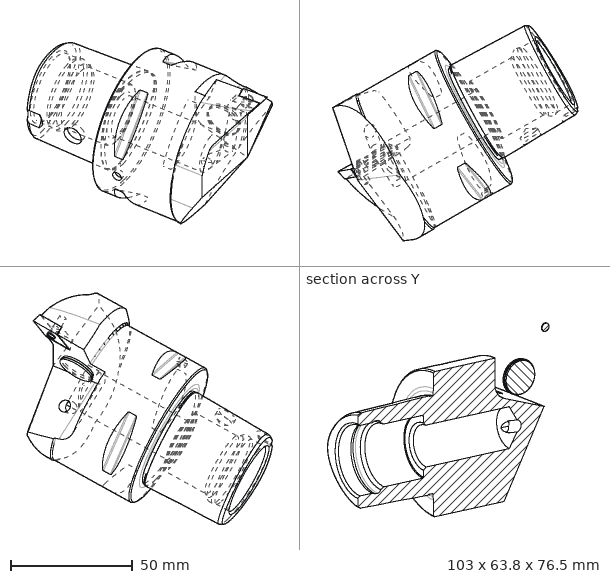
import cadquery as cq
import math


SHANK_END = 36.0
TIP_CHAMFER_LENGTH = 1.4
TIP_CHAMFER_DEPTH = 0.8
SHANK_RADIUS = 21.9
SHANK_TAPER = 0.025
LOBE_RATIO = 0.064
LOBES = 3
LOBE_POINTS = 12 * LOBES
NECK_RADIUS = 21.6
NECK_GROOVE_START = 36.6
NECK_GROOVE_RADIUS = 22.3

COLLAR_START = 38.0
COLLAR_END = 75.1
COLLAR_RADIUS = 31.5
COLLAR_CHAMFER = 0.6
SEAT_PROUD = 0.4
SEAT_RADIUS = 22.5
SEAT_FOOT_RADIUS = 24.1

BORE_MOUTH_RADIUS = 16.1
BORE_CHAMFER_DEPTH = 1.0
ENTRY_RADIUS = 15.1
RECESS_START = 7.2
RECESS_FLOOR_START = 8.7
RECESS_FLOOR_END = 9.9
RECESS_RADIUS = 15.7
RECESS_END = 11.4
SHOULDER_RADIUS = 14.4
SHOULDER_END = 13.1
BORE_DEPTH = 33.0
BORE_RADIUS = 13.5
BORE_END_CHAMFER = 0.3
FEED_MOUTH_RADIUS = 10.2
FEED_RADIUS = 9.0
FEED_APEX = 81.4
DRILL_SLOPE = 0.6

NOTCH_LENGTH = 6.2
NOTCH_RADIUS = 5.4
NOTCH_FLOOR = 18.0
NOTCH_TIP = 5.4
DIMPLE_X = 22.5
DIMPLE_RADIUS = 4.1
DIMPLE_DEPTH = 17.4

GRIP_X = 50.0
GRIP_FLOOR_WIDTH = 3.9
GRIP_FLOOR = 27.9
GRIP_SIDE_ANGLE = 30.0
GRIP_POSITIONS = (45, 135, 225, 315)
GRIP_FILLET = 0.6
INDEX_HOLE_RADIUS = 2.1
INDEX_HOLE_DEPTH = 2.1

HEAD_RADIUS = 31.9
HEAD_FLAT_TOP = 20.9
ARC_MIDDLE = (-22.4, 36.5)
ARC_TOP = (-8.8, 43.7)
BACK_CONE_SLOPE = 0.28
BACK_FILLET = 0.8
TIP_X = 103.0
TIP_Z = 45.0
TOP_ANGLE = 3.0
INSERT_ANGLE = 55.0
NOSE_SETBACK = 0.3
FACE_X = 93.6
FACE_CORNER_Z = 5.9
LOWER_ANGLE = 28.3
NOSE_FILLET = 5.2
RELIEF_TOP = 6.0
RELIEF_NOSE = 7.0
RELIEF_FACE = 5.5
RELIEF_LOWER = 7.0
RELIEF_FACE_REAR = 11.5
RELIEF_LOWER_REAR = 10.0

RAKE_Y = -0.2
POCKET_WALL_X = 68.9
FLOOR_ANGLE = 20.0
POCKET_FILLET = 7.2

COOLANT_X = 79.4
COOLANT_RADIUS = 2.5
COOLANT_OUTLET = (14.1, 10.6)
CROSS_HALF_LENGTH = 9.3
CROSS_ANGLE = 18.0

INSERT_EDGE = 11.4
INSERT_THICKNESS = 4.0
INSERT_RELIEF = 7.0
SCREW_HEAD_RADIUS = 1.9
SCREW_HEAD_DEPTH = 1.5
SCREW_SHANK_RADIUS = 1.4
SCREW_LENGTH = 9.3
SCREW_PROUD = 0.3

BUTTON_X = 81.7
BUTTON_Z = 20.6
BUTTON_NECK_RADIUS = 7.3
BUTTON_NECK_HEIGHT = 0.9
BUTTON_RIM_RADIUS = 7.6
BUTTON_RIM_HEIGHT = 0.9

FAR = 51.5
CLEARANCE = 1.0


def tan_deg(angle):
    return math.tan(math.radians(angle))


def turned(points):
    """Solid of revolution about X from a closed (x, radius) outline."""
    return cq.Workplane("XY").polyline(points).close().revolve(360, (0, 0, 0), (1, 0, 0))


def lobed_wire(x, radius):
    """Closed constant-width curve with three lobes, one of them towards +Y."""
    lobe = LOBE_RATIO * radius
    points = []
    for i in range(LOBE_POINTS):
        angle = 2 * math.pi * i / LOBE_POINTS
        support = radius + lobe * math.cos(LOBES * angle)
        slope = -LOBES * lobe * math.sin(LOBES * angle)
        y = support * math.cos(angle) - slope * math.sin(angle)
        z = support * math.sin(angle) + slope * math.cos(angle)
        points.append(cq.Vector(x, y, z))
    return cq.Wire.assembleEdges([cq.Edge.makeSpline(points, periodic=True)])


def lobed_solid(x1, radius1, x2, radius2):
    return cq.Workplane(cq.Solid.makeLoft([lobed_wire(x1, radius1), lobed_wire(x2, radius2)], True))


def make_shank():
    front_radius = SHANK_RADIUS - SHANK_TAPER * (SHANK_END - TIP_CHAMFER_LENGTH)
    tip = lobed_solid(0, front_radius - TIP_CHAMFER_DEPTH, TIP_CHAMFER_LENGTH, front_radius)
    taper = lobed_solid(TIP_CHAMFER_LENGTH, front_radius, SHANK_END, SHANK_RADIUS)
    neck = lobed_solid(SHANK_END, NECK_RADIUS, COLLAR_START, NECK_RADIUS)
    groove = turned([
        (NECK_GROOVE_START, NECK_GROOVE_RADIUS),
        (NECK_GROOVE_START, FAR),
        (COLLAR_START, FAR),
        (COLLAR_START, NECK_GROOVE_RADIUS),
    ])
    return tip.union(taper).union(neck.cut(groove))


def make_collar():
    collar = turned([
        (COLLAR_START, 0),
        (COLLAR_START, COLLAR_RADIUS - COLLAR_CHAMFER),
        (COLLAR_START + COLLAR_CHAMFER, COLLAR_RADIUS),
        (COLLAR_END, COLLAR_RADIUS),
        (COLLAR_END, 0),
    ])
    seat = turned([
        (COLLAR_START - SEAT_PROUD, 0),
        (COLLAR_START - SEAT_PROUD, SEAT_RADIUS),
        (COLLAR_START, SEAT_FOOT_RADIUS),
        (COLLAR_START, 0),
    ])
    return collar.union(seat)


def make_head():
    """Head cross-section along X, limited at the back by a cone that blends into the collar."""
    diagonal = HEAD_RADIUS * math.sqrt(0.5)
    section = (
        cq.Workplane("YZ", origin=(COLLAR_END, 0, 0))
        .moveTo(0, FAR)
        .lineTo(*ARC_TOP)
        .threePointArc(ARC_MIDDLE, (-HEAD_RADIUS, HEAD_FLAT_TOP))
        .lineTo(-HEAD_RADIUS, 0)
        .threePointArc((0, -HEAD_RADIUS), (HEAD_RADIUS, 0))
        .threePointArc((diagonal, diagonal), (0, HEAD_RADIUS))
        .close()
        .extrude(TIP_X - COLLAR_END + CLEARANCE)
    )
    cone_start = COLLAR_END + BACK_FILLET
    cone_radius = COLLAR_RADIUS + BACK_FILLET
    bend = BACK_FILLET * (1 - math.sqrt(0.5))
    envelope = (
        cq.Workplane("XY")
        .moveTo(COLLAR_END, 0)
        .lineTo(COLLAR_END, COLLAR_RADIUS)
        .threePointArc((cone_start - bend, COLLAR_RADIUS + bend), (cone_start, cone_radius))
        .lineTo(cone_start + BACK_CONE_SLOPE * (FAR - cone_radius), FAR)
        .lineTo(TIP_X + CLEARANCE, FAR)
        .lineTo(TIP_X + CLEARANCE, 0)
        .close()
        .revolve(360, (0, 0, 0), (1, 0, 0))
    )
    return section.intersect(envelope)


def front_outline(depth, face_relief, lower_relief):
    """XZ outline of the whole tool at a distance from Y = 0, with each front edge relieved."""
    top_slope = tan_deg(TOP_ANGLE)
    nose_angle = math.radians(TOP_ANGLE + INSERT_ANGLE)
    lower_angle = math.radians(LOWER_ANGLE)
    nose_inset = NOSE_SETBACK + depth * tan_deg(RELIEF_NOSE)
    top_inset = NOSE_SETBACK + depth * tan_deg(RELIEF_TOP)
    face_x = FACE_X - depth * tan_deg(face_relief)
    nose_x = TIP_X - nose_inset / math.sin(nose_angle)
    top_z = TIP_Z - top_inset / math.cos(math.radians(TOP_ANGLE))
    lower_x = FACE_X - depth * tan_deg(lower_relief) / math.cos(lower_angle)

    nose_slope = math.tan(nose_angle)
    point_x = (top_z - TIP_Z + nose_slope * nose_x - top_slope * TIP_X) / (nose_slope - top_slope)
    point_z = TIP_Z + nose_slope * (point_x - nose_x)
    corner_z = FACE_CORNER_Z + (face_x - lower_x) / math.tan(lower_angle)
    return [
        (0, -FAR),
        (lower_x - (FACE_CORNER_Z + FAR) * math.tan(lower_angle), -FAR),
        (face_x, corner_z),
        (face_x, TIP_Z - nose_slope * (nose_x - face_x)),
        (point_x, point_z),
        (0, top_z - top_slope * TIP_X),
    ]


def front_half(side, face_relief, lower_relief):
    """Space kept by the front edges on one side of Y = 0; side is -1 or +1."""
    reach = HEAD_RADIUS + CLEARANCE
    inner = front_outline(0, face_relief, lower_relief)
    outer = front_outline(reach, face_relief, lower_relief)
    half = (
        cq.Workplane("XZ")
        .polyline(inner)
        .close()
        .workplane(offset=-side * reach)
        .polyline(outer)
        .close()
        .loft(ruled=True)
    )
    (x1, z1), (x2, z2) = inner[3], outer[3]
    corner = ((x1 + x2) / 2, side * reach / 2, (z1 + z2) / 2)
    return half.edges(cq.selectors.NearestToPointSelector(corner)).fillet(NOSE_FILLET)


def make_bore():
    """Stepped bore with a shallow recess behind its entry, ending in a drilled coolant feed."""
    feed_base = FEED_APEX - DRILL_SLOPE * FEED_RADIUS
    step = FEED_MOUTH_RADIUS - FEED_RADIUS
    return (
        cq.Workplane("XY")
        .moveTo(0, 0)
        .lineTo(0, BORE_MOUTH_RADIUS)
        .lineTo(BORE_CHAMFER_DEPTH, ENTRY_RADIUS)
        .lineTo(RECESS_START, ENTRY_RADIUS)
        .lineTo(RECESS_FLOOR_START, RECESS_RADIUS)
        .lineTo(RECESS_FLOOR_END, RECESS_RADIUS)
        .tangentArcPoint((RECESS_END, SHOULDER_RADIUS), relative=False)
        .lineTo(SHOULDER_END, BORE_RADIUS)
        .lineTo(BORE_DEPTH - BORE_END_CHAMFER, BORE_RADIUS)
        .lineTo(BORE_DEPTH, BORE_RADIUS - BORE_END_CHAMFER)
        .lineTo(BORE_DEPTH, FEED_MOUTH_RADIUS)
        .lineTo(BORE_DEPTH + step, FEED_RADIUS)
        .lineTo(feed_base, FEED_RADIUS)
        .lineTo(FEED_APEX, 0)
        .close()
        .revolve(360, (0, 0, 0), (1, 0, 0))
    )


def drilled(length, radius, tip):
    """Drill shape along +Z from the origin: a cylinder with a conical tip."""
    outline = [(0, 0), (radius, 0), (radius, length), (0, length + tip)]
    return cq.Workplane("XZ").polyline(outline).close().revolve(360, (0, 0, 0), (0, 1, 0))


def side_drill(x, bottom, radius):
    """Blind hole drilled from the -Y side; bottom is the distance of its shoulder from the axis."""
    hole = drilled(FAR - bottom, radius, DRILL_SLOPE * radius)
    return hole.rotate((0, 0, 0), (1, 0, 0), -90).translate((x, -FAR, 0))


def make_notch():
    notch = drilled(NOTCH_LENGTH, NOTCH_RADIUS, NOTCH_TIP).rotate((0, 0, 0), (0, 1, 0), 90)
    return notch.translate((0, -NOTCH_FLOOR - NOTCH_RADIUS, 0))


def make_grip_groove(angle):
    height = COLLAR_RADIUS + CLEARANCE - GRIP_FLOOR
    floor = GRIP_FLOOR_WIDTH / 2
    top = floor + height * tan_deg(GRIP_SIDE_ANGLE)
    groove = (
        cq.Workplane("XZ")
        .polyline([(-floor, 0), (floor, 0), (top, height), (-top, height)])
        .close()
        .extrude(COLLAR_RADIUS, both=True)
        .faces("<Z")
        .edges("|Y")
        .fillet(GRIP_FILLET)
    )
    return groove.translate((GRIP_X, 0, GRIP_FLOOR)).rotate((0, 0, 0), (1, 0, 0), angle)


def make_chip_pocket():
    slope = tan_deg(FLOOR_ANGLE)
    end_x = TIP_X + CLEARANCE
    wall_foot = (POCKET_WALL_X, FACE_CORNER_Z + slope * (FACE_X - POCKET_WALL_X))
    outline = [
        (POCKET_WALL_X, FAR),
        wall_foot,
        (end_x, FACE_CORNER_Z - slope * (end_x - FACE_X)),
        (end_x, FAR),
    ]
    pocket = cq.Workplane("XZ", origin=(0, RAKE_Y, 0)).polyline(outline).close().extrude(-FAR)
    foot = (wall_foot[0], FAR / 2, wall_foot[1])
    return pocket.edges(cq.selectors.NearestToPointSelector(foot)).fillet(POCKET_FILLET)


def make_coolant_passages():
    """Cross hole through the feed cone and an oblique outlet from its end to the pocket floor."""
    cosine = math.cos(math.radians(CROSS_ANGLE))
    sine = math.sin(math.radians(CROSS_ANGLE))
    axis = cq.Vector(0, -cosine, sine)
    start = cq.Vector(COOLANT_X, 0, 0) - axis * CROSS_HALF_LENGTH
    cross = cq.Solid.makeCylinder(COOLANT_RADIUS, 2 * CROSS_HALF_LENGTH, start, axis)
    exit_point = cq.Vector(COOLANT_X, *COOLANT_OUTLET)
    run = exit_point - start
    outlet = cq.Solid.makeCylinder(COOLANT_RADIUS, run.Length + 2 * COOLANT_RADIUS, start, run)
    return cq.Workplane(cross).union(cq.Workplane(outlet))


def along_edge(angle):
    """Offset from the insert tip along an edge that falls away at an angle below -X."""
    return (-INSERT_EDGE * math.cos(math.radians(angle)), -INSERT_EDGE * math.sin(math.radians(angle)))


TOP_EDGE = along_edge(TOP_ANGLE)
NOSE_EDGE = along_edge(TOP_ANGLE + INSERT_ANGLE)
INSERT_CENTRE = (
    TIP_X + (TOP_EDGE[0] + NOSE_EDGE[0]) / 2,
    TIP_Z + (TOP_EDGE[1] + NOSE_EDGE[1]) / 2,
)


def make_insert_blank():
    corners = [
        (TIP_X, TIP_Z),
        (TIP_X + TOP_EDGE[0], TIP_Z + TOP_EDGE[1]),
        (TIP_X + TOP_EDGE[0] + NOSE_EDGE[0], TIP_Z + TOP_EDGE[1] + NOSE_EDGE[1]),
        (TIP_X + NOSE_EDGE[0], TIP_Z + NOSE_EDGE[1]),
    ]
    return cq.Workplane("XZ").polyline(corners).close().extrude(INSERT_THICKNESS, taper=INSERT_RELIEF)


def make_insert_screw():
    head = (
        cq.Workplane("XZ", origin=(0, SCREW_PROUD, 0))
        .center(*INSERT_CENTRE)
        .circle(SCREW_HEAD_RADIUS)
        .extrude(SCREW_HEAD_DEPTH + SCREW_PROUD)
    )
    shank = cq.Workplane("XZ").center(*INSERT_CENTRE).circle(SCREW_SHANK_RADIUS).extrude(SCREW_LENGTH)
    return head.union(shank)


def make_button():
    rim_y = RAKE_Y + BUTTON_NECK_HEIGHT
    neck = (
        cq.Workplane("XZ", origin=(BUTTON_X, RAKE_Y, BUTTON_Z))
        .circle(BUTTON_NECK_RADIUS)
        .extrude(-BUTTON_NECK_HEIGHT)
    )
    rim = (
        cq.Workplane("XZ", origin=(BUTTON_X, rim_y, BUTTON_Z))
        .circle(BUTTON_RIM_RADIUS)
        .extrude(-BUTTON_RIM_HEIGHT)
    )
    return neck.union(rim)


def make_holder():
    front = front_half(-1, RELIEF_FACE, RELIEF_LOWER).union(
        front_half(1, RELIEF_FACE_REAR, RELIEF_LOWER_REAR)
    )
    holder = make_collar().union(make_head()).intersect(front)
    holder = holder.cut(make_chip_pocket())
    holder = holder.union(make_shank())
    holder = holder.cut(make_bore())
    holder = holder.cut(make_notch())
    holder = holder.cut(side_drill(DIMPLE_X, DIMPLE_DEPTH, DIMPLE_RADIUS))
    holder = holder.cut(side_drill(GRIP_X, COLLAR_RADIUS - INDEX_HOLE_DEPTH, INDEX_HOLE_RADIUS))
    for angle in GRIP_POSITIONS:
        holder = holder.cut(make_grip_groove(angle))
    return holder.cut(make_coolant_passages())


insert_screw = make_insert_screw()
insert_blank = make_insert_blank()
insert = insert_blank.cut(insert_screw)
holder = make_holder().cut(insert_blank).cut(insert_screw)
button = make_button()

result = cq.Compound.makeCompound([holder.val(), insert.val(), insert_screw.val(), button.val()])